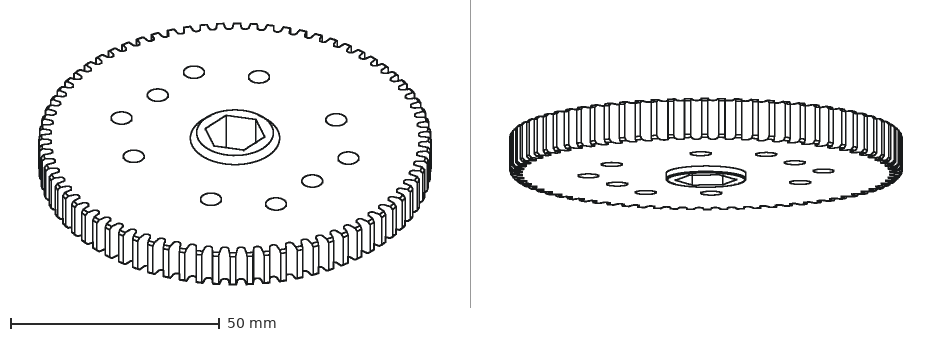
import cadquery as cq
import math


width = 93.9
tooth_count = 72
rim_thickness = 9.5
tip_chamfer = 0.7

root_radius = 44.1
gap_root_round = 0.9
gap_mid_half_width = 1.08
gap_mid_radius = 45.7
gap_tip_half_width = 1.36
tip_radius = math.hypot(width / 2, gap_tip_half_width)

hub_height = 1.6
cone_top_radius = 9.2
cone_base_radius = 10.7
lower_hub_radius = 9.6
lower_hub_chamfer = 0.3

hex_across_flats = 12.7
hole_diameter = 5.0
hole_pitch = 25.4
half_pitch = hole_pitch / 2
hole_circle_height = hole_pitch * math.sin(math.radians(60))

rim_top = rim_thickness / 2
rim_bottom = -rim_top
part_height = rim_thickness + 2 * hub_height


def turned(x, y, angle):
    """Point (x, y) turned about the gear axis by an angle in radians."""
    c = math.cos(angle)
    s = math.sin(angle)
    return (x * c - y * s, x * s + y * c)


def make_toothed_disc():
    """Disc with straight teeth, before the tip chamfers."""
    pitch_angle = 2 * math.pi / tooth_count
    root_centre = root_radius + gap_root_round
    outline = cq.Workplane("XY", origin=(0, 0, rim_bottom))
    outline = outline.moveTo(gap_tip_half_width, width / 2)
    for tooth in range(tooth_count):
        angle = tooth * pitch_angle
        next_angle = angle + pitch_angle
        outline = (
            outline
            .threePointArc(
                turned(gap_mid_half_width, gap_mid_radius, angle),
                turned(gap_root_round, root_centre, angle),
            )
            .threePointArc(
                turned(0, root_radius, angle),
                turned(-gap_root_round, root_centre, angle),
            )
            .threePointArc(
                turned(-gap_mid_half_width, gap_mid_radius, angle),
                turned(-gap_tip_half_width, width / 2, angle),
            )
            .threePointArc(
                turned(0, tip_radius, angle + pitch_angle / 2),
                turned(gap_tip_half_width, width / 2, next_angle),
            )
        )
    return outline.close().extrude(rim_thickness)


def make_rim():
    """Toothed disc with the tooth tips chamfered at 45 degrees on both faces."""
    cone_size = tip_radius - tip_chamfer + rim_top
    profile = [(0, -cone_size), (cone_size, 0), (0, cone_size)]
    envelope = cq.Workplane("XZ").polyline(profile).close().revolve(360, (0, 0, 0), (0, 1, 0))
    return make_toothed_disc().intersect(envelope)


def make_hub():
    """Turned hub that passes through the rim and stands out on both faces."""
    upper = rim_top + hub_height
    lower = rim_bottom - hub_height
    profile = [
        (0, lower),
        (lower_hub_radius - lower_hub_chamfer, lower),
        (lower_hub_radius, lower + lower_hub_chamfer),
        (lower_hub_radius, rim_top),
        (cone_base_radius, rim_top),
        (cone_top_radius, upper),
        (0, upper),
    ]
    return cq.Workplane("XZ").polyline(profile).close().revolve(360, (0, 0, 0), (0, 1, 0))


def make_hex_bore():
    """Hexagonal through bore with two flats facing +X and -X."""
    across_corners = hex_across_flats / math.cos(math.radians(30))
    return (
        cq.Workplane("XY")
        .polygon(6, across_corners)
        .extrude(part_height, both=True)
        .rotate((0, 0, 0), (0, 0, 1), 30)
    )


def make_holes():
    """Ten through holes, placed alike on both sides of the YZ plane."""
    points = []
    for side in (-1, 1):
        points += [(side * hole_pitch, row * half_pitch) for row in (-1, 0, 1)]
        points += [(side * half_pitch, end * hole_circle_height) for end in (-1, 1)]
    return (
        cq.Workplane("XY")
        .pushPoints(points)
        .circle(hole_diameter / 2)
        .extrude(part_height, both=True)
    )


openings = make_hex_bore().union(make_holes())
result = make_rim().union(make_hub()).cut(openings)